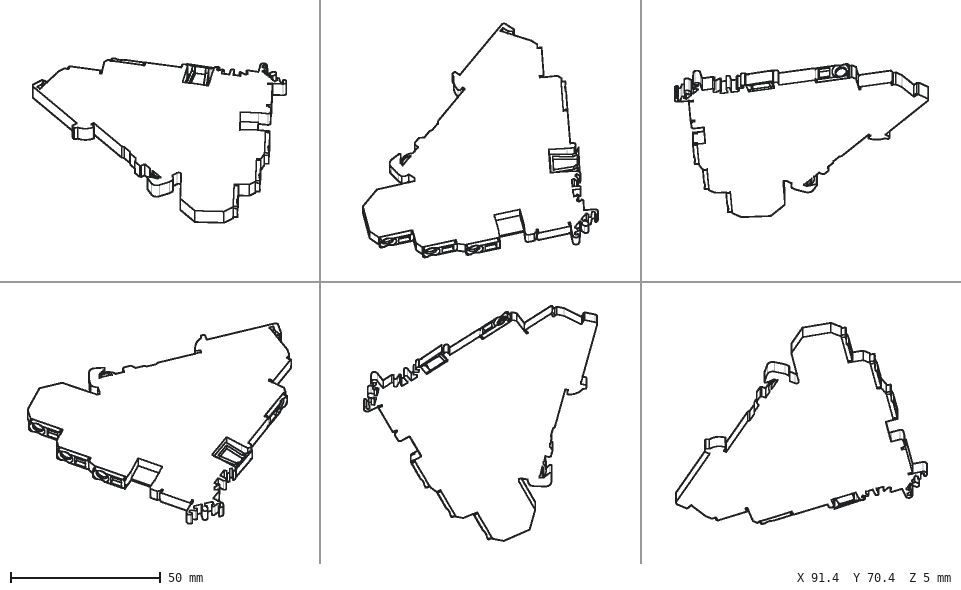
import cadquery as cq
import math

thickness = 5.0
mid_height = thickness / 2
half_width = 45.7
flank_angle = 40.0
flank_cos = math.cos(math.radians(flank_angle))
flank_sin = math.sin(math.radians(flank_angle))
crown_x = -0.3
RIGHT = 1
LEFT = -1

bar_length = 11.6
bar_depth = 1.5
bar_bevel = 0.55
bar_inset = 0.1
low_tip = (half_width, 17.9)
middle_tip = (40.1, 31.8)
high_tip = (30.9, 42.9)
upper_tip = (12.25, 58.6)

funnel_radius = 2.8
bore_radius = 1.9
funnel_depth = 0.7
funnel_from_tip = 2.9
window_length = 3.8
window_height = 3.5
window_from_end = 1.2

pocket_width = 8.8
pocket_depth = 5.9
pocket_floor = 0.8
pocket_corner = (8.7, 48.5)

tag_ledge = 3.3
tag_recess_floor = 1.5
cap_top = 4.5
tag_ramp = 1.2
cap_overlap = 0.5

foot_slot_floor = 0.8

pin_root = 0.9

crown_floor = 67.3
crown_height = 3.1
neck_drop = 1.3
neck_half_width = 3.8


def along_flank(point, side, up=0.0, inward=0.0):
    """Move from a point up along a flank and inward, square to that flank."""
    x = point[0] - side * (up * flank_cos + inward * flank_sin)
    y = point[1] + up * flank_sin - inward * flank_cos
    return (x, y)


def bar_corner(tip, side, up=0.0, inward=0.0):
    """Point of a bar outline; tips are given for the right side and mirrored for the left."""
    return along_flank((side * tip[0], tip[1]), side, up, inward)


def pocket_corners(side):
    """Upper inner, lower inner, lower outer and upper outer corner of a pocket floor."""
    upper_inner = (crown_x + side * pocket_corner[0], pocket_corner[1])
    lower_inner = along_flank(upper_inner, side, up=-pocket_width)
    lower_outer = along_flank(lower_inner, side, inward=-pocket_depth)
    upper_outer = along_flank(upper_inner, side, inward=-pocket_depth)
    return [upper_inner, lower_inner, lower_outer, upper_outer]


def prism(points, bottom, top):
    return cq.Workplane("XY").workplane(offset=bottom).polyline(points).close().extrude(top - bottom)


def make_plate():
    """Full-height plate, going clockwise from the left end of the crown neck."""
    underside = 7.1
    rail_face = 6.7
    lip_step = 0.9
    wall_rise = 3.3
    right_pocket = pocket_corners(RIGHT)
    left_pocket = pocket_corners(LEFT)
    outline = cq.Workplane("XY").moveTo(crown_x - neck_half_width, crown_floor - neck_drop)

    outline = outline.polyline(
        [
            bar_corner(upper_tip, RIGHT, up=bar_length),
            bar_corner(upper_tip, RIGHT),
            bar_corner(upper_tip, RIGHT, inward=lip_step),
            (12.3, 57.9),
            (13.0, 57.9),
            (14.5, 56.5),
        ],
        includeCurrent=True,
    )
    outline = outline.threePointArc((14.8, 55.9), (14.5, 55.2))
    outline = outline.polyline(
        [
            right_pocket[3],
            right_pocket[2],
            bar_corner(high_tip, RIGHT, up=bar_length),
            bar_corner(high_tip, RIGHT),
            bar_corner(high_tip, RIGHT, inward=bar_depth),
            bar_corner(middle_tip, RIGHT, up=bar_length),
            bar_corner(middle_tip, RIGHT),
            bar_corner(middle_tip, RIGHT, inward=bar_depth),
            (39.1, 28.15),
            bar_corner(low_tip, RIGHT, up=bar_length),
            bar_corner(low_tip, RIGHT),
            bar_corner(low_tip, RIGHT, inward=bar_depth),
            (44.7, 13.0),
            (38.4, 5.6),
            (30.4, 5.6),
            (21.0, 13.35),
        ],
        includeCurrent=True,
    )

    outline = outline.threePointArc((20.0, 13.6), (19.6, 12.8)).lineTo(19.6, 10.8)
    outline = outline.threePointArc((20.75, 10.2), (21.6, 9.3)).lineTo(21.6, 7.9).lineTo(20.75, 4.3)
    outline = outline.threePointArc((20.0, 3.2), (18.5, 2.8)).lineTo(15.5, 3.5)
    outline = outline.threePointArc((15.1, 3.8), (15.3, 4.3)).lineTo(16.8, 5.3)

    outline = outline.polyline([(17.6, 5.85), (17.9, underside), (13.5, underside)], includeCurrent=True)
    outline = outline.threePointArc((15.3, 6.2), (17.2, 6.4)).lineTo(17.0, 5.7)
    outline = outline.threePointArc((14.4, 5.7), (12.25, underside))

    outline = outline.polyline(
        [
            (9.3, underside),
            (9.3, 5.8),
            (8.9, 5.3),
            (6.4, 5.3),
            (5.2, rail_face),
            (2.2, rail_face),
            (1.4, underside),
            (-1.8, underside),
            (-2.6, rail_face),
            (-17.6, rail_face),
            (-17.6, 5.8),
            (-16.45, 5.8),
        ],
        includeCurrent=True,
    )

    outline = outline.threePointArc((-16.0, 5.5), (-16.0, 5.0))
    outline = outline.threePointArc((-17.1, 2.65), (-19.1, 1.1)).lineTo(-19.6, 0.0).lineTo(-20.4, 0.0)
    outline = outline.polyline([(-20.9, 0.3), (-20.9, 2.2), (-44.5, 2.2)], includeCurrent=True)
    outline = outline.threePointArc((-45.25, 2.5), (-45.5, 3.2))
    outline = outline.polyline([(-45.5, 6.7), (-45.0, 7.0), (-43.6, 7.3), (-45.5, 13.8)], includeCurrent=True)

    outline = outline.polyline(
        [
            (-45.5, 16.3),
            bar_corner(low_tip, LEFT, inward=bar_depth),
            bar_corner(low_tip, LEFT),
            bar_corner(low_tip, LEFT, up=bar_length),
            (-39.95, 28.7),
            (-39.95, 30.4),
            bar_corner(middle_tip, LEFT, inward=bar_depth),
            bar_corner(middle_tip, LEFT),
            bar_corner(middle_tip, LEFT, up=bar_length),
            (-21.85, 47.3),
            (-22.6, 48.1),
        ],
        includeCurrent=True,
    )
    outline = outline.threePointArc((-22.5, 49.0), (-21.8, 49.4)).lineTo(-21.2, 49.4)
    lip_wall = along_flank(left_pocket[3], LEFT, inward=-wall_rise)
    outline = outline.polyline(
        [left_pocket[2], left_pocket[3], lip_wall, (lip_wall[0], 56.4)],
        includeCurrent=True,
    )

    outline = outline.threePointArc((-14.35, 56.95), (-13.7, 57.1))
    outline = outline.polyline(
        [
            (-13.7, 55.85),
            (-13.0, 55.85),
            (-12.4, 57.4),
            (-11.5, 57.4),
            (-11.7, 56.3),
            (-11.0, 55.85),
            (-6.3, 60.1),
            (-6.9, 60.6),
            (-7.5, 60.6),
            (-7.8, 61.15),
            (-6.1, 61.6),
        ],
        includeCurrent=True,
    )
    outline = outline.threePointArc((-5.6, 62.3), (-6.2, 62.9))
    outline = outline.polyline([(-6.95, 63.0), (-6.95, 63.6)], includeCurrent=True)
    return outline.close().extrude(thickness)


def make_crown_half(side):
    """Half of the crown with its hook, rooted a little below the neck."""
    root_drop = 2.7

    def at(x, y):
        return (crown_x + side * x, crown_floor + y)

    half = cq.Workplane("XY").moveTo(*at(0, -root_drop)).lineTo(*at(0, 0))
    half = half.polyline([at(3.3, 0), at(3.3, 1.0), at(2.65, 1.2)], includeCurrent=True)
    half = half.threePointArc(at(2.65, 1.8), at(3.4, 1.9)).lineTo(*at(4.5, 1.4))
    half = half.threePointArc(at(5.3, 1.7), at(4.7, 2.4))
    half = half.polyline([at(4.7, crown_height), at(5.5, crown_height)], includeCurrent=True)
    half = half.threePointArc(at(6.4, 2.2), at(6.1, 1.3)).lineTo(*at(neck_half_width, -neck_drop))
    return half.close().extrude(thickness)


def make_crown_pin():
    stem_half = 0.5
    head_half = 0.9
    head_start = 1.0
    round_start = crown_height - head_half
    pin = cq.Workplane("XY").moveTo(-stem_half, -pin_root).lineTo(-stem_half, head_start)
    pin = pin.lineTo(-head_half, head_start).lineTo(-head_half, round_start)
    pin = pin.threePointArc((0, crown_height), (head_half, round_start))
    pin = pin.lineTo(head_half, head_start).lineTo(stem_half, head_start).lineTo(stem_half, -pin_root)
    return pin.close().extrude(thickness).translate((crown_x, crown_floor, 0))


def make_flank_pin():
    """Plain round-ended pin standing square on the upper left flank."""
    base = (-8.6, 57.95)
    half = 0.6
    straight = 2.1
    pin = cq.Workplane("XY").moveTo(-half, -pin_root).lineTo(-half, straight)
    pin = pin.threePointArc((0, straight + half), (half, straight)).lineTo(half, -pin_root).close()
    pin = pin.extrude(thickness).rotate((0, 0, 0), (0, 0, 1), flank_angle)
    return pin.translate((base[0], base[1], 0))


def make_bar(tip, side, funnelled):
    """Bar with bevelled ends, made with its tip at the origin, its length in X and its depth in Y."""
    height = thickness - 2 * bar_inset if funnelled else thickness
    bar = cq.Workplane("XY").box(bar_length, bar_depth, height, centered=(False, False, True))
    bar = bar.faces("<X or >X").edges("|Y").chamfer(bar_bevel)
    if funnelled:
        window_x = bar_length - window_from_end - window_length / 2
        window = cq.Workplane("XY").box(window_length, 2 * bar_depth, window_height)
        bar = bar.cut(window.translate((window_x, bar_depth / 2, 0)))
        funnel = cq.Workplane("XY").polyline(
            [(0, 0), (funnel_radius, 0), (bore_radius, funnel_depth), (bore_radius, bar_depth), (0, bar_depth)]
        )
        funnel = funnel.close().revolve(360, (0, 0, 0), (0, 1, 0))
        bar = bar.cut(funnel.translate((funnel_from_tip, 0, 0)))
    bar = bar.rotate((0, 0, 0), (0, 0, 1), 180 - flank_angle).translate((tip[0], tip[1], mid_height))
    return bar if side == RIGHT else bar.mirror("YZ")


def make_bar_seat(tip, side):
    """Full-height room for a bar in the plate."""
    corners = [
        bar_corner(tip, side),
        bar_corner(tip, side, up=bar_length),
        bar_corner(tip, side, up=bar_length, inward=bar_depth),
        bar_corner(tip, side, inward=bar_depth),
    ]
    return prism(corners, 0, thickness)


def make_tag():
    """Tapered marker tag: a recessed body on the pocket floor under a thin cap along the flank."""
    cap_high = (-16.2, 54.3)
    cap_low = (-20.4, 50.8)
    recess_high = (-17.1, 53.8)
    recess_low = (-19.7, 51.6)
    cap_points = [(-15.1, 56.1), (-15.7, 54.85), cap_high, recess_high, recess_low, cap_low, (-22.5, 50.2)]
    cap = prism(cap_points, 0, cap_top)
    recess = prism([recess_high, (-11.15, 48.2), (-15.1, 45.0), recess_low], tag_recess_floor, cap_top)

    body_points = [
        along_flank(cap_high, LEFT, inward=-cap_overlap),
        (-9.7, 48.2),
        (-15.2, 43.6),
        along_flank(cap_low, LEFT, inward=-cap_overlap),
    ]
    body = prism(body_points, pocket_floor, cap_top)

    ledge_cutter = cq.Workplane("XZ").polyline(
        [(0, cap_top), (tag_ramp, tag_ledge), (2 * pocket_width, tag_ledge), (2 * pocket_width, cap_top)]
    )
    ledge_cutter = ledge_cutter.close().extrude(2 * pocket_width, both=True)
    ledge_cutter = ledge_cutter.rotate((0, 0, 0), (0, 0, 1), flank_angle - 90)
    ledge_cutter = ledge_cutter.translate((cap_low[0], cap_low[1], 0))
    return body.cut(ledge_cutter).cut(recess).union(cap)


funnelled_bars = [(high_tip, RIGHT), (middle_tip, RIGHT), (low_tip, RIGHT), (middle_tip, LEFT)]
plain_bars = [(upper_tip, RIGHT), (low_tip, LEFT)]

plate = make_plate().union(make_crown_half(RIGHT)).union(make_crown_half(LEFT))
plate = plate.union(make_crown_pin()).union(make_flank_pin())

for tip, side in funnelled_bars + plain_bars:
    plate = plate.cut(make_bar_seat(tip, side))
for tip, side in funnelled_bars:
    plate = plate.union(make_bar(tip, side, funnelled=True))
for tip, side in plain_bars:
    plate = plate.union(make_bar(tip, side, funnelled=False))

for side in (RIGHT, LEFT):
    plate = plate.cut(prism(pocket_corners(side), pocket_floor, thickness))
plate = plate.union(make_tag())

foot_slot_points = [(-43.6, 7.3), (-44.8, 6.95), (-43.8, 5.2), (-43.8, 3.3), (-42.3, 3.3)]
result = plate.cut(prism(foot_slot_points, foot_slot_floor, thickness))